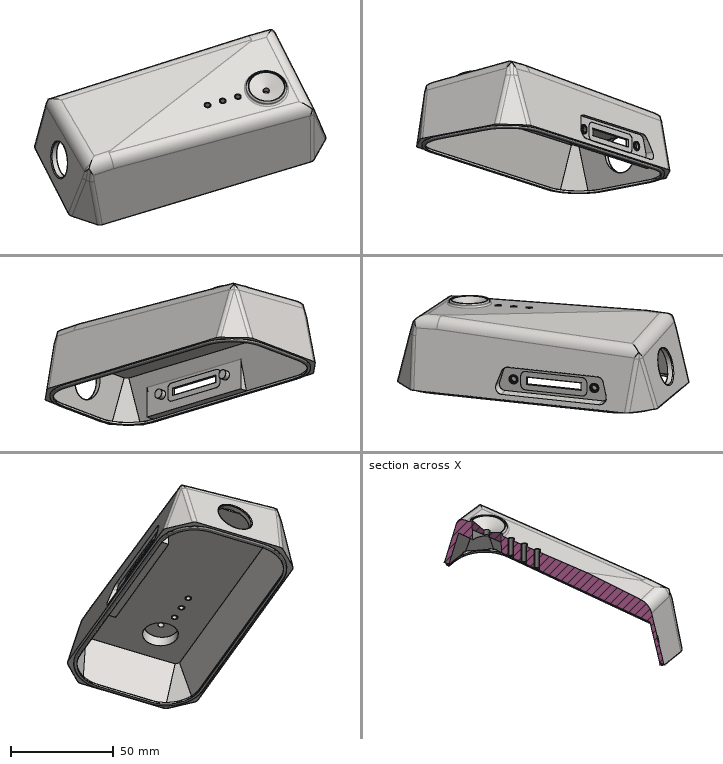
import cadquery as cq
import math

WIDTH = 70.0
LENGTH = 135.0
GASKET_HEIGHT = 1.1
WALL_DRAFT = 15.0
WALL = 3.0
CEILING_Z = 23.4

RIDGE_Z = 36.2
RIDGE_RUN_X = 15.6
RIDGE_RUN_Y = 35.1
ROOF_SLOPE = 4.8
ROOF_FILLET = 7.0

CORNER_LEG = 11.5
LOW_CORNER_LEG_TOP = 2.0
HIGH_CORNER_LEG_TOP = 3.1
CORNER_TOP_Z = 27.0
CORNER_FILLET = 3.2

GASKET_WIDTH = 67.6
GASKET_LENGTH = 132.6
GASKET_BAND = 1.6
GASKET_CORNER = 20.0
GASKET_EDGE = 0.4

CABLE_HOLE_DIAMETER = 17.4
CABLE_HOLE_Z = 15.5
CABLE_HOLE_DEPTH = 9.5
CABLE_HOLE_BEVEL = 0.47

BUTTON_X = 9.3
BUTTON_Y = 41.6
BUTTON_DIAMETER = 17.4
BUTTON_BORE = 3.0
BUTTON_DISH_DEPTH = 3.1
BUTTON_THICKNESS = 6.1
RIM_HEIGHT = 1.9
RIM_DIAMETER = 20.0
RIM_FOOT_FILLET = 0.8
RIM_TOP_FILLET = 0.8
RIM_BEVEL = 0.3

LAMP_DIAMETER = 3.2
LAMP_BORE = 2.4
LAMP_COUNT = 3
LAMP_FIRST_Y = 26.6
LAMP_PITCH = 8.0

PANEL_X = -29.3
PANEL_Y = -15.9
RECESS_BOTTOM_Z = 4.2
RECESS_TOP_Z = 16.5
RECESS_BOTTOM_WIDTH = 58.6
RECESS_TOP_WIDTH = 51.0
RECESS_CORNER = 3.0
RECESS_DRAFT = 6.0
PAD_THICKNESS = 1.4
PAD_MARGIN = 1.4

CONNECTOR_Z = 10.3
CONNECTOR_WIDTH = 34.3
CONNECTOR_HEIGHT = 9.5
CONNECTOR_CORNER = 2.5
SLOT_WIDTH = 28.2
SLOT_HEIGHT = 3.8

SCREW_PITCH = 41.8
SCREW_DIAMETER = 4.6
SCREW_LENGTH = 4.0
SCREW_SOCKET = 3.0
SCREW_SOCKET_DEPTH = 1.4
SCREW_BEVEL = 0.4

BASE_Z = GASKET_HEIGHT
DRAFT_RATE = math.tan(math.radians(WALL_DRAFT))
ROOF_RATE = math.tan(math.radians(ROOF_SLOPE))
RIDGE_LENGTH = math.hypot(RIDGE_RUN_X, RIDGE_RUN_Y)
DOWNHILL = (RIDGE_RUN_Y / RIDGE_LENGTH, RIDGE_RUN_X / RIDGE_LENGTH)
RIDGE_DIRECTION = (-RIDGE_RUN_X, RIDGE_RUN_Y, 0)
BIG = 2 * LENGTH


def roof_plane(x, y, side):
    """Plane of one roof half at (x, y): side 1 falls toward +X +Y, side -1 toward -X -Y."""
    distance = side * (x * DOWNHILL[0] + y * DOWNHILL[1])
    z = RIDGE_Z - distance * ROOF_RATE
    normal = (side * DOWNHILL[0] * ROOF_RATE, side * DOWNHILL[1] * ROOF_RATE, 1)
    return cq.Plane(origin=(x, y, z), xDir=RIDGE_DIRECTION, normal=normal)


def tapered_block(inset, top_z):
    """Block with four leaning walls, from the housing's base up to top_z."""
    return (
        cq.Workplane("XY").workplane(offset=BASE_Z)
        .rect(WIDTH - 2 * inset, LENGTH - 2 * inset)
        .extrude(top_z - BASE_Z, taper=WALL_DRAFT)
    )


def corner_waste(x_side, y_side, inset):
    """Half-space outside one corner cut, whose plane leans inward with height."""
    under_ridge = x_side * y_side < 0
    top_leg = HIGH_CORNER_LEG_TOP if under_ridge else LOW_CORNER_LEG_TOP
    rise = CORNER_TOP_Z - BASE_Z
    corner_sum = (WIDTH + LENGTH) / 2
    base_reach = (corner_sum - CORNER_LEG) / math.sqrt(2) - inset
    top_reach = (corner_sum - 2 * rise * DRAFT_RATE - top_leg) / math.sqrt(2) - inset
    lean = (base_reach - top_reach) / rise
    plane = cq.Plane(
        origin=(x_side * base_reach / math.sqrt(2), y_side * base_reach / math.sqrt(2), BASE_Z),
        xDir=(-y_side, x_side, 0),
        normal=(x_side, y_side, lean * math.sqrt(2)),
    )
    return cq.Workplane(plane).rect(BIG, BIG).extrude(BIG)


def cornered_block(inset, top_z):
    """Tapered block with a flat, upward-narrowing cut at each vertical corner."""
    block = tapered_block(inset, top_z)
    for x_side in (-1, 1):
        for y_side in (-1, 1):
            block = block.cut(corner_waste(x_side, y_side, inset))
    return block


def corner_envelope():
    """Outer walls with the corner cuts blended into them, carried on above the corner tops."""
    lower = cornered_block(0, CORNER_TOP_Z)
    lower = lower.edges("not(<Z or >Z)").fillet(CORNER_FILLET)
    top_outline = lower.faces(">Z").wires().toPending()
    upper = top_outline.extrude(RIDGE_Z - CORNER_TOP_Z, taper=WALL_DRAFT, combine=False)
    return lower.union(upper)


def roofed_block(side):
    """Tapered block cut by one roof plane, with its top edges rounded."""
    above = cq.Workplane(roof_plane(0, 0, side)).rect(BIG, BIG).extrude(BIG)
    block = tapered_block(0, RIDGE_Z + ROOF_FILLET).cut(above)
    return block.faces(">Z").edges().fillet(ROOF_FILLET)


def outer_body():
    """Housing without openings: both roof halves meet at the ridge, inside the corner cuts."""
    return roofed_block(1).intersect(roofed_block(-1)).intersect(corner_envelope())


def cavity():
    """Hollow under a flat ceiling, open at the bottom, with a pad left behind the connector recess."""
    hollow = cornered_block(WALL, CEILING_Z)
    pad_top = RECESS_TOP_Z + PAD_MARGIN
    pad = cq.Workplane("XY").box(
        WIDTH / 2 + PANEL_X + PAD_THICKNESS,
        RECESS_BOTTOM_WIDTH + 2 * PAD_MARGIN,
        pad_top - BASE_Z,
        centered=(False, True, False),
    )
    return hollow.cut(pad.translate((-WIDTH / 2, PANEL_Y, BASE_Z)))


def panel_sketch(z):
    """Sketch frame on the recess floor, facing outward, with its centre at height z."""
    plane = cq.Plane(origin=(PANEL_X, PANEL_Y, z), xDir=(0, -1, 0), normal=(-1, 0, 0))
    return cq.Workplane(plane)


def connector_recess():
    """Rounded trapezoid that widens outward from the recess floor through the sloping wall."""
    outline = [
        (-RECESS_BOTTOM_WIDTH / 2, RECESS_BOTTOM_Z),
        (RECESS_BOTTOM_WIDTH / 2, RECESS_BOTTOM_Z),
        (RECESS_TOP_WIDTH / 2, RECESS_TOP_Z),
        (-RECESS_TOP_WIDTH / 2, RECESS_TOP_Z),
    ]
    sketch = cq.Sketch().polygon(outline + outline[:1]).vertices().fillet(RECESS_CORNER)
    return panel_sketch(0).placeSketch(sketch).extrude(WIDTH / 2, taper=-RECESS_DRAFT)


def connector_outline(depth):
    """Rounded block that reaches inward from the recess floor."""
    block = panel_sketch(CONNECTOR_Z).rect(CONNECTOR_WIDTH, CONNECTOR_HEIGHT).extrude(-depth)
    return block.edges("|X").fillet(CONNECTOR_CORNER)


def screw_positions():
    return panel_sketch(CONNECTOR_Z).rarray(SCREW_PITCH, 1.4, 2, 1)


def screw_cylinders():
    return screw_positions().circle(SCREW_DIAMETER / 2).extrude(-SCREW_LENGTH)


def with_cable_hole(body):
    """Cut the hole along Y into the -Y wall and bevel its mouth."""
    start = cq.Workplane("XZ", origin=(0, -LENGTH / 2, CABLE_HOLE_Z))
    drilled = body.cut(start.circle(CABLE_HOLE_DIAMETER / 2).extrude(-CABLE_HOLE_DEPTH))
    mouth_y = -LENGTH / 2 + (CABLE_HOLE_Z - BASE_Z) * DRAFT_RATE
    mouth = cq.selectors.NearestToPointSelector((0, mouth_y, CABLE_HOLE_Z))
    return drilled.edges(mouth).chamfer(CABLE_HOLE_BEVEL)


def lamp_cylinders(diameter):
    """Upright cylinders from the ceiling to above the roof, one for each lamp."""
    centres = [(BUTTON_X, LAMP_FIRST_Y - i * LAMP_PITCH) for i in range(LAMP_COUNT)]
    return (
        cq.Workplane("XY").workplane(offset=CEILING_Z)
        .pushPoints(centres).circle(diameter / 2).extrude(RIDGE_Z - CEILING_Z)
    )


def button_sketch():
    """Sketch frame on the roof half under the button, tilted with it; local z is the button axis."""
    return cq.Workplane(roof_plane(BUTTON_X, BUTTON_Y, 1))


def revolved_on_button_axis(profile):
    """Revolve a (radius, height) profile about the button axis."""
    frame = roof_plane(BUTTON_X, BUTTON_Y, 1)
    upright = cq.Plane(origin=frame.origin, xDir=frame.xDir, normal=-frame.yDir)
    return profile(cq.Workplane(upright)).close().revolve(360, (0, 0, 0), (0, 1, 0))


def button_rim():
    """Raised ring around the button, faired into the roof and rounded at its outer top edge."""
    foot = RIM_DIAMETER / 2
    bore = BUTTON_DIAMETER / 2
    sunk = -RIM_HEIGHT
    diagonal = math.sqrt(0.5)

    def profile(sketch):
        return (
            sketch.moveTo(bore, sunk)
            .lineTo(foot + RIM_FOOT_FILLET, sunk)
            .lineTo(foot + RIM_FOOT_FILLET, 0)
            .threePointArc(
                (foot + RIM_FOOT_FILLET * (1 - diagonal), RIM_FOOT_FILLET * (1 - diagonal)),
                (foot, RIM_FOOT_FILLET),
            )
            .lineTo(foot, RIM_HEIGHT - RIM_TOP_FILLET)
            .threePointArc(
                (foot - RIM_TOP_FILLET * (1 - diagonal), RIM_HEIGHT - RIM_TOP_FILLET * (1 - diagonal)),
                (foot - RIM_TOP_FILLET, RIM_HEIGHT),
            )
            .lineTo(bore + RIM_BEVEL, RIM_HEIGHT)
            .lineTo(bore, RIM_HEIGHT - RIM_BEVEL)
        )

    return revolved_on_button_axis(profile)


def button_bore():
    """Hole through the rim and the whole roof, square to the roof half."""
    return (
        button_sketch().workplane(offset=RIM_HEIGHT)
        .circle(BUTTON_DIAMETER / 2).extrude(-(RIDGE_Z - CEILING_Z + RIM_HEIGHT))
    )


def make_housing():
    """Hollow shell with every opening that the other bodies sit in."""
    shell = with_cable_hole(outer_body()).union(button_rim()).cut(cavity())
    for opening in (
        button_bore(),
        lamp_cylinders(LAMP_DIAMETER),
        connector_recess(),
        connector_outline(WALL),
        screw_cylinders(),
    ):
        shell = shell.cut(opening)
    return shell


def make_gasket():
    """Flat ring under the housing with a rounded lower outer edge."""
    def slab(inset):
        return (
            cq.Workplane("XY")
            .rect(GASKET_WIDTH - 2 * inset, GASKET_LENGTH - 2 * inset)
            .extrude(GASKET_HEIGHT)
            .edges("|Z").fillet(GASKET_CORNER - inset)
        )

    return slab(0).faces("<Z").edges().fillet(GASKET_EDGE).cut(slab(GASKET_BAND))


def make_button():
    """Round button with a conical dish that runs down to a through bore."""
    top = RIM_HEIGHT - RIM_BEVEL

    def profile(sketch):
        return (
            sketch.moveTo(BUTTON_DIAMETER / 2, top)
            .lineTo(BUTTON_BORE / 2, top - BUTTON_DISH_DEPTH)
            .lineTo(BUTTON_BORE / 2, top - BUTTON_THICKNESS)
            .lineTo(BUTTON_DIAMETER / 2, top - BUTTON_THICKNESS)
        )

    return revolved_on_button_axis(profile)


def make_lamps():
    """Tubular light guides whose tops lie flush with the roof."""
    above = cq.Workplane(roof_plane(0, 0, 1)).rect(BIG, BIG).extrude(BIG)
    return lamp_cylinders(LAMP_DIAMETER).cut(lamp_cylinders(LAMP_BORE)).cut(above)


def make_connector():
    """Plate flush with the recess floor, with a long slot through it."""
    slot = panel_sketch(CONNECTOR_Z).rect(SLOT_WIDTH, SLOT_HEIGHT).extrude(-PAD_THICKNESS)
    return connector_outline(PAD_THICKNESS).cut(slot)


def make_screws():
    """Socketed screws flush with the recess floor, whose tips stand out inside the housing."""
    sockets = screw_positions().circle(SCREW_SOCKET / 2).extrude(-SCREW_SOCKET_DEPTH)
    return screw_cylinders().faces("<X").edges().chamfer(SCREW_BEVEL).cut(sockets)


housing = make_housing()
gasket = make_gasket()
button = make_button()
lamps = make_lamps()
connector = make_connector()
screws = make_screws()

result = cq.Compound.makeCompound(
    [
        housing.solids().val(),
        gasket.solids().val(),
        button.val(),
        *lamps.solids().vals(),
        connector.solids().val(),
        *screws.solids().vals(),
    ]
)